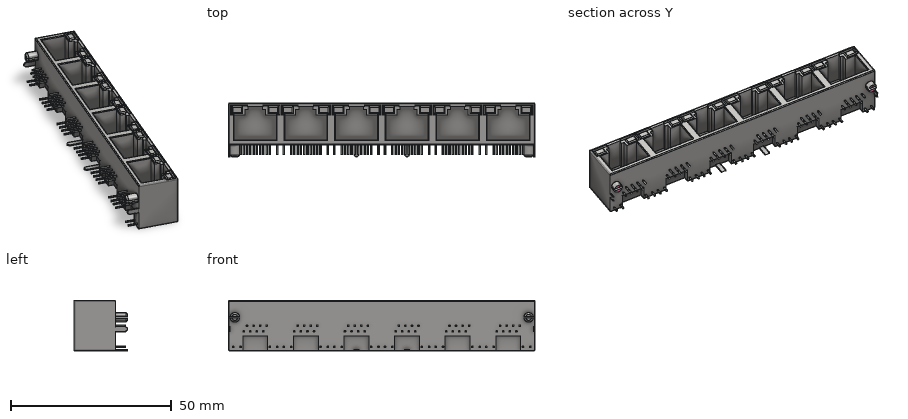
import cadquery as cq
body_length = 95.25
body_depth = 13.0
body_height = 15.7
body_left = -body_length / 2
edge_round = 0.3

port_count = 6
port_pitch = 15.75
port_depth = 10.5
port_floor = body_height - port_depth
port_front = 1.55
port_steps = ((13.1, 9.3), (6.3, 11.05), (4.4, 11.9))

port_lead_in = 0.25
port_lead_in_angle = 45

shelf_width = 15.3
shelf_front = port_steps[0][1]
shelf_back = 12.45
shelf_depth = 0.4
shelf_wall_angle = 40
key_rim_width = 4.9
key_rim_front = port_steps[-1][1]

lens_centre = 5.6
lens_width = 3.4
lens_front = 9.7
lens_back = 12.05
lens_chamfer = 0.35

board_edge_chamfer = 0.3

notch_width = 7.75
notch_height = 4.65
notch_depth = 1.8

pin_diameter = 0.5
pin_length = 3.0
contact_pitch = 2.04
contact_shift = contact_pitch / 4
contacts_per_row = 4
upper_row_z = 7.8
lower_row_z = 6.02
indicator_pin_z = 1.2
indicator_pin_offsets = (-6.86, -4.57, 4.57, 6.86)

peg_diameter = 2.95
peg_length = 3.75
peg_chamfer = 0.55
peg_slot = 0.55
peg_z = 10.4
peg_x = 45.7

tab_width = 1.6
tab_thickness = 0.4
tab_length = 3.75
tab_tip_chamfer = 0.6
side_tab_z = 6.75
bottom_tab_ports = (2, 3)

embed = 0.5
contact_root = embed
indicator_root = notch_depth + embed


def box(x0, x1, y0, y1, z0, z1):
    """Axis-aligned block between two opposite corners."""
    return cq.Workplane("XY").box(x1 - x0, y1 - y0, z1 - z0, centered=False).translate((x0, y0, z0))


def port_x(index):
    return (index - (port_count - 1) / 2) * port_pitch


def make_body():
    body = box(body_left, -body_left, 0, body_depth, 0, body_height)
    body = body.edges("<Y and >Z").chamfer(board_edge_chamfer)
    end_edges = "|Y and (<X or >X)"
    return body.edges(f">Y or ({end_edges})").fillet(edge_round)


def port_cavity(x):
    cavity = cq.Workplane("XY")
    for width, back in port_steps:
        cavity = cavity.union(box(x - width / 2, x + width / 2, port_front, back, port_floor, body_height))
    return cavity


def tapered_pocket(x0, x1, y0, y1, depth, angle):
    """Pocket sunk from the top face, narrowing downwards at the given wall angle."""
    mouth = cq.Workplane("XY", origin=((x0 + x1) / 2, (y0 + y1) / 2, body_height))
    return mouth.rect(x1 - x0, y1 - y0).extrude(-depth, taper=angle)


def port_lead_in_cut(x):
    """Sloping flare along the sides and front of the plug-width opening."""
    width, back = port_steps[0]
    half = width / 2 + port_lead_in
    front = port_front - port_lead_in
    flare = tapered_pocket(x - half, x + half, front, back + port_lead_in, port_lead_in, port_lead_in_angle)
    return flare.intersect(box(x - half, x + half, front, back, 0, body_height))


def indicator_lens(x):
    lens = box(
        x - lens_width / 2,
        x + lens_width / 2,
        lens_front,
        lens_back,
        body_height - shelf_depth,
        body_height,
    )
    return lens.faces(">Z").edges().chamfer(lens_chamfer)


def indicator_shelf(x):
    """Tapered recess that opens into the port, less the key rim and both lenses."""
    half = shelf_width / 2
    floor = body_height - shelf_depth
    shelf = tapered_pocket(x - half, x + half, shelf_front, shelf_back, shelf_depth, shelf_wall_angle)
    port_half = port_steps[0][0] / 2
    mouth = box(x - port_half, x + port_half, shelf_front, lens_front, floor, body_height)
    rim_half = key_rim_width / 2
    key_rim = box(x - rim_half, x + rim_half, key_rim_front, shelf_back, floor, body_height)
    shelf = shelf.union(mouth).cut(key_rim)
    for side in (-1, 1):
        shelf = shelf.cut(indicator_lens(x + side * lens_centre))
    return shelf


def relief_notch(x):
    return box(x - notch_width / 2, x + notch_width / 2, 0, notch_depth, 0, notch_height)


def pin(x, z, root):
    rod = cq.Workplane("XZ").circle(pin_diameter / 2).extrude(pin_length + root)
    return rod.translate((x, root, z))


def port_pins(x):
    pins = [pin(x + offset, indicator_pin_z, indicator_root) for offset in indicator_pin_offsets]
    for i in range(contacts_per_row):
        offset = (i - (contacts_per_row - 1) / 2) * contact_pitch
        pins.append(pin(x + offset + contact_shift, upper_row_z, contact_root))
        pins.append(pin(x + offset - contact_shift, lower_row_z, contact_root))
    return pins


def peg(x):
    """Round peg with a chamfered end, split by a horizontal slot."""
    post = cq.Workplane("XZ").circle(peg_diameter / 2).extrude(peg_length)
    post = post.faces("<Y").chamfer(peg_chamfer)
    slot = box(-peg_diameter, peg_diameter, -peg_length, 0, -peg_slot / 2, peg_slot / 2)
    root = cq.Workplane("XZ").circle(peg_diameter / 2).extrude(-embed)
    return post.cut(slot).union(root).translate((x, 0, peg_z))


def shield_tab(root_y):
    """Flat tab with a tapered tip, lying on z = 0, running from root_y out to its tip."""
    tab = box(-tab_width / 2, tab_width / 2, -tab_length, root_y, 0, tab_thickness)
    return tab.edges("|Z and <Y").chamfer(tab_tip_chamfer)


def side_tab(side):
    upright = shield_tab(embed).rotate((0, 0, 0), (0, 1, 0), 90)
    inset = 0 if side < 0 else -tab_thickness
    return upright.translate((side * body_length / 2 + inset, 0, side_tab_z))


def bottom_tab(x):
    return shield_tab(notch_depth + embed).translate((x, 0, 0))


result = make_body()
for index in range(port_count):
    centre = port_x(index)
    result = result.cut(port_cavity(centre)).cut(port_lead_in_cut(centre)).cut(relief_notch(centre))
    result = result.cut(indicator_shelf(centre))

for index in range(port_count):
    for item in port_pins(port_x(index)):
        result = result.union(item)

for side in (-1, 1):
    result = result.union(peg(side * peg_x)).union(side_tab(side))

for index in bottom_tab_ports:
    result = result.union(bottom_tab(port_x(index)))